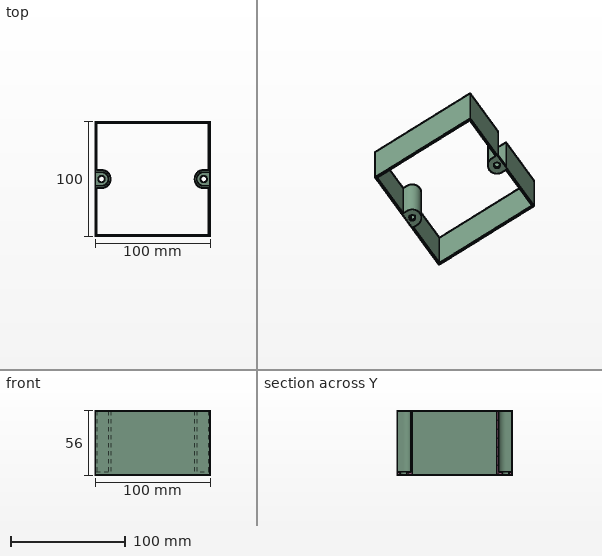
import cadquery as cq

side = 100.0
height = 56.0
wall = 1.5

channel_width = 12.0
channel_radius = channel_width / 2
channel_wall = 2.0
screw_inset = 5.5
screw_hole_diameter = 5.5
floor_thickness = 3.0


def slot_column(radius, base_z, column_height):
    """Column from the -X face inwards, ending in a half round about the screw axis."""
    outer_x = -side / 2
    axis_x = outer_x + screw_inset
    return (
        cq.Workplane("XY", origin=(0, 0, base_z))
        .moveTo(outer_x, -radius)
        .lineTo(axis_x, -radius)
        .threePointArc((axis_x + radius, 0), (axis_x, radius))
        .lineTo(outer_x, radius)
        .close()
        .extrude(column_height)
    )


def both_sides(body):
    """The body together with its mirror image on the +X side."""
    return body.union(body.mirror("YZ"))


frame = (
    cq.Workplane("XY")
    .rect(side, side)
    .rect(side - 2 * wall, side - 2 * wall)
    .extrude(height)
)

channel_shell = slot_column(channel_radius + channel_wall, 0, height)
channel_space = slot_column(channel_radius, floor_thickness, height - floor_thickness)
screw_hole = (
    cq.Workplane("XY")
    .center(-side / 2 + screw_inset, 0)
    .circle(screw_hole_diameter / 2)
    .extrude(floor_thickness)
)

result = (
    frame.union(both_sides(channel_shell))
    .cut(both_sides(channel_space))
    .cut(both_sides(screw_hole))
)